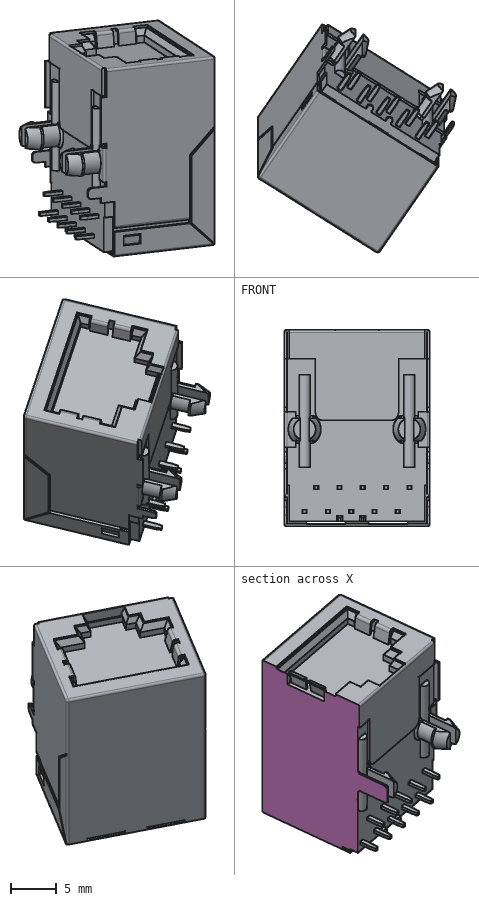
import math

import cadquery as cq


WIDTH = 15.88
HEIGHT = 21.45
SHEET = 0.25
BEND_RADIUS = 0.28
BODY_DEPTH = 13.01
SHIELD_FRONT = -0.26
SIDE_FRONT = 0.1
LOWER_FRONT = 1.05
LOWER_TOP = 6.28
HALF_WIDTH = WIDTH / 2
WALL_INNER = HALF_WIDTH - SHEET

SHIELD_CLEARANCE = 0.09
CLEARANCE_DEPTH = 1.0
HOUSING_HALF = WALL_INNER - SHIELD_CLEARANCE
HOUSING_FOOT_HALF = 7.37
HOUSING_FOOT_TOP = 4.5
HOUSING_BOTTOM = 0.53
GAP_BOTTOM = 0.27
GAP_INNER_X = 1.27
GAP_OUTER_X = 5.53

PLATE_HALF = 7.37
PLATE_BOTTOM = 18.26
TONGUE_HALF = 4.53
TONGUE_BOTTOM = 11.55
TONGUE_RADIUS = 0.85

FLANGE_FRONT = -0.52
NOTCH_TOP = 12.99
NOTCH_BOTTOM = 8.11
FOLD_TOP = 12.48
FOLD_BOTTOM = 8.62
FOLD_INNER_X = 6.66
GROUND_TAB_BOTTOM = 6.87
GROUND_TAB_TIP = -2.08
GROUND_TAB_RADIUS = 0.45

COVER_FRONT = BODY_DEPTH - 3.02
COVER_TOP = 13.6
COVER_SHOULDER = COVER_TOP - (BODY_DEPTH - COVER_FRONT)
COVER_LOW = 2.84
SEAM_WIDTH = 0.18
SEAM_DEPTH = 0.08
JOG_TOP = 3.53
JOG_RADIUS = 0.35
LATCH_BACK = BODY_DEPTH - 8.88
LATCH_FRONT = BODY_DEPTH - 10.86
LATCH_BOTTOM = 1.19
LATCH_TOP = 2.32
LATCH_ROOF_DROP = 0.2
LATCH_DEPTH_TOP = 0.25
LATCH_DEPTH_BOTTOM = 0.35

LEAD_IN_DEPTH = 0.97
CAVITY_DEPTH = 1.76
WINDOW_HALVES = (6.53, 3.76, 2.37)
OPENING_HALF = WINDOW_HALVES[0]
MOUTH_INSET = 0.1
THROAT_HALVES = (5.89, 3.13, 2.0)
SLOT_HALF = THROAT_HALVES[2]
RIM_BACK = BODY_DEPTH - 12.48
RIM_FRONT = BODY_DEPTH - 12.65
WINDOW_BACK = BODY_DEPTH - 2.0
MOUTH_BACK = BODY_DEPTH - 2.15
CAVITY_BACK = BODY_DEPTH - 2.6
SLOT_FRONT = BODY_DEPTH - 13.0
MOUTH_SHOULDER = BODY_DEPTH - 10.0
MOUTH_LEDGE = BODY_DEPTH - 11.46
THROAT_SHOULDER = BODY_DEPTH - 9.47
THROAT_LEDGE = BODY_DEPTH - 11.10
SPRING_RECESS_BACK = BODY_DEPTH - 3.5
SPRING_RECESS_FRONT = BODY_DEPTH - 8.4
UPPER_SPRING = (BODY_DEPTH - 3.67, BODY_DEPTH - 5.70, 6.18, 5.69)
LOWER_SPRING = (BODY_DEPTH - 6.28, BODY_DEPTH - 8.28, 6.25, 5.60)
SPRING_BEND = 0.35

PEG_X = 11.43 / 2
BAR_RADIUS = 0.61
BAR_BOTTOM = 6.47
BAR_TOP = 16.54
PEG_Z = 10.58
PEG_RADIUS = 1.5
PEG_FLAT_HALF = 1.22
PEG_SLOT = 1.0
PEG_BASE_FLARE = 0.27
BARB_RADIUS = 1.78
BARB_START = -2.32
BARB_END = -2.55
PEG_TIP = BODY_DEPTH - 17.0
PEG_TIP_RADIUS = 1.2
PIN_PITCH = 2.54
PINS_PER_ROW = 5
PIN_ROWS = ((-PEG_X, 1.64), (-PEG_X + PIN_PITCH / 2, 4.22))
PIN_WIDTH = 0.52
PIN_THICK = 0.38
PIN_TIP_WIDTH = 0.36
PIN_SHOULDER = -1.37
PIN_TIP = -2.08
NUB_X = (-PIN_PITCH * 3 / 4, PIN_PITCH / 4)
NUB_WIDTH = 0.65
NUB_HEIGHT = 0.6
NUB_FRONT = -0.6
NUB_CHAMFER = 0.2


def block(x0, x1, y0, y1, z0, z1):
    """Axis-aligned box between two corners."""
    box = cq.Workplane("XY").box(x1 - x0, y1 - y0, z1 - z0, centered=False)
    return box.translate((x0, y0, z0))


def both_sides(left):
    """A shape together with its mirror image across the YZ plane."""
    return left.union(left.mirror("YZ"))


def side_prism(points, x0, x1):
    """Prism along X over a closed YZ outline."""
    return cq.Workplane("YZ").polyline(points).close().extrude(x1 - x0).translate((x0, 0, 0))


def shield_body():
    body = block(-HALF_WIDTH, HALF_WIDTH, SIDE_FRONT, BODY_DEPTH, 0, HEIGHT)
    body = body.edges("|Y or >Y or (>Z and (not <Y))").fillet(BEND_RADIUS)
    shortened = block(-WIDTH, WIDTH, SIDE_FRONT, LOWER_FRONT, -1, LOWER_TOP)
    return body.cut(shortened)


def housing():
    upper = block(-HOUSING_HALF, HOUSING_HALF, 0, LOWER_FRONT + 1, HOUSING_FOOT_TOP, PLATE_BOTTOM)
    foot = block(
        -HOUSING_FOOT_HALF, HOUSING_FOOT_HALF, 0, LOWER_FRONT + 1, HOUSING_BOTTOM, HOUSING_FOOT_TOP
    )
    return upper.union(foot)


def bottom_gaps():
    """Two flat gaps running front to back between the housing and the shield floor."""
    gap = block(-GAP_OUTER_X, -GAP_INNER_X, -1, BODY_DEPTH + 1, GAP_BOTTOM, HOUSING_BOTTOM)
    return both_sides(gap)


def shield_clearance():
    """Shallow gap between the shield sheet and the housing, open toward the board side.

    It is interrupted where the side wall jogs inward."""
    side_x = -HOUSING_HALF
    upper_back = SIDE_FRONT + CLEARANCE_DEPTH
    lower_back = LOWER_FRONT + CLEARANCE_DEPTH
    floor_top = GAP_BOTTOM + SHIELD_CLEARANCE
    upper = block(-WALL_INNER, side_x, FLANGE_FRONT, upper_back, LOWER_TOP, HEIGHT - SHEET)
    middle = block(-WALL_INNER, side_x, 0, lower_back, JOG_TOP, LOWER_TOP)
    lower = block(-WALL_INNER, side_x, 0, lower_back, GAP_BOTTOM, COVER_LOW)
    floor = block(-WALL_INNER, 0, 0, lower_back, GAP_BOTTOM, floor_top)
    return both_sides(upper.union(middle).union(lower).union(floor))


def front_plate():
    band = block(-PLATE_HALF, PLATE_HALF, SHIELD_FRONT, LOWER_FRONT, PLATE_BOTTOM, HEIGHT)
    band = band.edges(">Z and <Y").fillet(BEND_RADIUS)
    tongue = block(-TONGUE_HALF, TONGUE_HALF, SHIELD_FRONT, LOWER_FRONT, TONGUE_BOTTOM, PLATE_BOTTOM)
    tongue = tongue.edges("|Y and <Z").fillet(TONGUE_RADIUS)
    return band.union(tongue)


def side_flanges():
    """Raised front edges of the side walls with the ground tabs."""
    upper = block(-HALF_WIDTH, -WALL_INNER, FLANGE_FRONT, LOWER_FRONT, NOTCH_TOP, PLATE_BOTTOM)
    lower = block(-HALF_WIDTH, -WALL_INNER, FLANGE_FRONT, LOWER_FRONT, LOWER_TOP, NOTCH_BOTTOM)
    ground = block(-HALF_WIDTH, -WALL_INNER, GROUND_TAB_TIP, 0, GROUND_TAB_BOTTOM, NOTCH_BOTTOM)
    ground = ground.edges("|X and <Y").fillet(GROUND_TAB_RADIUS)
    return both_sides(upper.union(lower).union(ground))


def folded_tabs():
    """Shield tabs folded inward over the housing face."""
    fold = block(-HALF_WIDTH, -FOLD_INNER_X, SHIELD_FRONT, LOWER_FRONT, FOLD_BOTTOM, FOLD_TOP)
    fold = fold.edges("|Z and <X and <Y").fillet(SHEET)
    return both_sides(fold)


def cover_seam():
    """Narrow groove following the edge of the wrapped cover on the side wall."""
    outline = [
        (BODY_DEPTH, COVER_TOP),
        (COVER_FRONT, COVER_SHOULDER),
        (COVER_FRONT, COVER_LOW),
        (BODY_DEPTH, 0),
    ]
    inner_front = COVER_FRONT + SEAM_WIDTH
    diagonal_shift = SEAM_WIDTH * math.sqrt(2)
    inner_outline = [
        (BODY_DEPTH, COVER_TOP - diagonal_shift),
        (inner_front, COVER_SHOULDER - SEAM_WIDTH * math.tan(math.pi / 8)),
        (inner_front, COVER_LOW),
        (BODY_DEPTH, SEAM_WIDTH / 2),
    ]
    x_bottom = -HALF_WIDTH + SEAM_DEPTH
    flap = side_prism(outline, -HALF_WIDTH - 1, x_bottom)
    return both_sides(flap.cut(side_prism(inner_outline, -HALF_WIDTH - 2, x_bottom + 1)))


def cover_jog():
    """Rounded groove where the side wall tucks in behind the lower flap."""
    jog_x = -HALF_WIDTH + JOG_RADIUS
    profile = (
        cq.Workplane("XZ").moveTo(-HALF_WIDTH, JOG_TOP)
        .radiusArc((jog_x, JOG_TOP - JOG_RADIUS), -JOG_RADIUS)
        .lineTo(jog_x, COVER_LOW).lineTo(-HALF_WIDTH, COVER_LOW).close()
    )
    return both_sides(profile.extrude(-COVER_FRONT))


def latch_window():
    """Window in the lower flap, under a sloped roof, its floor slanting deeper toward the bottom."""
    profile = [
        (-HALF_WIDTH, LATCH_TOP),
        (-HALF_WIDTH + LATCH_DEPTH_TOP, LATCH_TOP - LATCH_ROOF_DROP),
        (-HALF_WIDTH + LATCH_DEPTH_BOTTOM, LATCH_BOTTOM),
        (-HALF_WIDTH, LATCH_BOTTOM),
    ]
    window = cq.Workplane("XZ").polyline(profile).close().extrude(LATCH_FRONT - LATCH_BACK)
    return both_sides(window.translate((0, LATCH_FRONT, 0)))


def plug_outline(half_widths, steps):
    """Closed plug outline: three half widths and the four Y levels from back to front."""
    wide, middle, narrow = half_widths
    back, shoulder, ledge, front = steps
    right = [
        (wide, back),
        (wide, shoulder),
        (middle, shoulder),
        (middle, ledge),
        (narrow, ledge),
        (narrow, front),
    ]
    left = [(-x, y) for x, y in reversed(right)]
    return right + left


def plug_opening():
    """Sheet window, tapered lead-in, cavity and spring recess, leaving a rim in the latch slot."""
    body_half, step_half, slot_half = WINDOW_HALVES
    mouth_halves = (body_half - MOUTH_INSET, step_half - MOUTH_INSET, slot_half)
    window = plug_outline(WINDOW_HALVES, (WINDOW_BACK, MOUTH_SHOULDER, MOUTH_LEDGE, SLOT_FRONT))
    mouth = plug_outline(mouth_halves, (MOUTH_BACK, MOUTH_SHOULDER, MOUTH_LEDGE, SLOT_FRONT))
    throat = plug_outline(THROAT_HALVES, (CAVITY_BACK, THROAT_SHOULDER, THROAT_LEDGE, SLOT_FRONT))

    sheet_cut = cq.Workplane("XY").workplane(offset=HEIGHT - SHEET).polyline(window).close().extrude(SHEET)
    lead_in = (
        cq.Workplane("XY").workplane(offset=HEIGHT - LEAD_IN_DEPTH).polyline(throat).close()
        .workplane(offset=LEAD_IN_DEPTH - SHEET).polyline(mouth).close()
        .loft(ruled=True)
    )
    cavity = cq.Workplane("XY").workplane(offset=HEIGHT - CAVITY_DEPTH).polyline(throat).close()
    cavity = cavity.extrude(CAVITY_DEPTH - LEAD_IN_DEPTH)
    recess = block(
        -OPENING_HALF, OPENING_HALF, SPRING_RECESS_FRONT, SPRING_RECESS_BACK,
        HEIGHT - CAVITY_DEPTH, HEIGHT,
    )
    rim = block(
        -SLOT_HALF, SLOT_HALF, RIM_FRONT, RIM_BACK, HEIGHT - CAVITY_DEPTH, HEIGHT - LEAD_IN_DEPTH
    )
    return sheet_cut.union(lead_in).union(cavity).union(recess).cut(rim)


def contact_spring(back, front, crest_x, inner_x):
    """Shield finger folded down into the opening at its left edge."""
    shoulder_x = -crest_x + SPRING_BEND
    profile = (
        cq.Workplane("XZ").moveTo(-OPENING_HALF, HEIGHT).lineTo(-crest_x, HEIGHT)
        .radiusArc((shoulder_x, HEIGHT - SPRING_BEND), SPRING_BEND)
        .lineTo(-inner_x, HEIGHT - CAVITY_DEPTH).lineTo(-inner_x - SHEET, HEIGHT - CAVITY_DEPTH)
        .lineTo(shoulder_x - SHEET, HEIGHT - SPRING_BEND)
        .radiusArc((-crest_x, HEIGHT - SHEET), -(SPRING_BEND - SHEET))
        .lineTo(-OPENING_HALF, HEIGHT - SHEET).close()
    )
    return both_sides(profile.extrude(back - front).translate((0, back, 0)))


def board_bars():
    """Half-round standoff bars on the board face."""
    bar = cq.Workplane("XY").circle(BAR_RADIUS).extrude(BAR_TOP - BAR_BOTTOM)
    return both_sides(bar.translate((-PEG_X, 0, BAR_BOTTOM)))


def snap_pegs():
    """Split, flattened and barbed board-lock pegs on flared bases."""
    profile = [
        (0, LOWER_FRONT),
        (PEG_RADIUS, LOWER_FRONT),
        (PEG_RADIUS, BARB_START),
        (BARB_RADIUS, BARB_START),
        (BARB_RADIUS, BARB_END),
        (PEG_TIP_RADIUS, PEG_TIP),
        (0, PEG_TIP),
    ]
    peg = cq.Workplane("XY").polyline(profile).close().revolve(360, (0, 0, 0), (0, 1, 0))
    flats = block(-WIDTH, WIDTH, PEG_TIP, LOWER_FRONT, -PEG_FLAT_HALF, PEG_FLAT_HALF)
    slot = block(-PEG_SLOT / 2, PEG_SLOT / 2, PEG_TIP, 0, -WIDTH, WIDTH)
    peg = peg.intersect(flats).cut(slot)
    base_radius = PEG_RADIUS + PEG_BASE_FLARE
    base_height = 2 * (PEG_FLAT_HALF + PEG_BASE_FLARE)
    cone = cq.Workplane("XZ").circle(base_radius).extrude(PEG_BASE_FLARE, taper=45)
    wedge = cq.Workplane("XZ").rect(WIDTH, base_height).extrude(PEG_BASE_FLARE, taper=45)
    peg = peg.union(cone.intersect(wedge).cut(slot))
    return both_sides(peg.translate((-PEG_X, 0, PEG_Z)))


def contact_pin(x, z):
    """Flat contact pin with a tapered tip."""
    half = PIN_WIDTH / 2
    half_tip = PIN_TIP_WIDTH / 2
    outline = [
        (x - half, LOWER_FRONT),
        (x - half, PIN_SHOULDER),
        (x - half_tip, PIN_TIP),
        (x + half_tip, PIN_TIP),
        (x + half, PIN_SHOULDER),
        (x + half, LOWER_FRONT),
    ]
    pin = cq.Workplane("XY").workplane(offset=z - PIN_THICK / 2).polyline(outline).close()
    return pin.extrude(PIN_THICK)


def board_nub(x):
    """Small chamfered nub at the lower edge of the board face."""
    half = NUB_WIDTH / 2
    nub = block(x - half, x + half, NUB_FRONT, LOWER_FRONT, HOUSING_BOTTOM, HOUSING_BOTTOM + NUB_HEIGHT)
    return nub.faces("<Y").edges("|Z or >Z").chamfer(NUB_CHAMFER)


result = shield_body().union(housing()).union(front_plate()).union(side_flanges())
for removal in (bottom_gaps(), shield_clearance(), cover_seam(), cover_jog(), latch_window(), plug_opening()):
    result = result.cut(removal)
for spring in (UPPER_SPRING, LOWER_SPRING):
    result = result.union(contact_spring(*spring))
result = result.union(folded_tabs()).union(snap_pegs()).union(board_bars())
for first_x, row_z in PIN_ROWS:
    for index in range(PINS_PER_ROW):
        result = result.union(contact_pin(first_x + index * PIN_PITCH, row_z))
for nub_x in NUB_X:
    result = result.union(board_nub(nub_x))